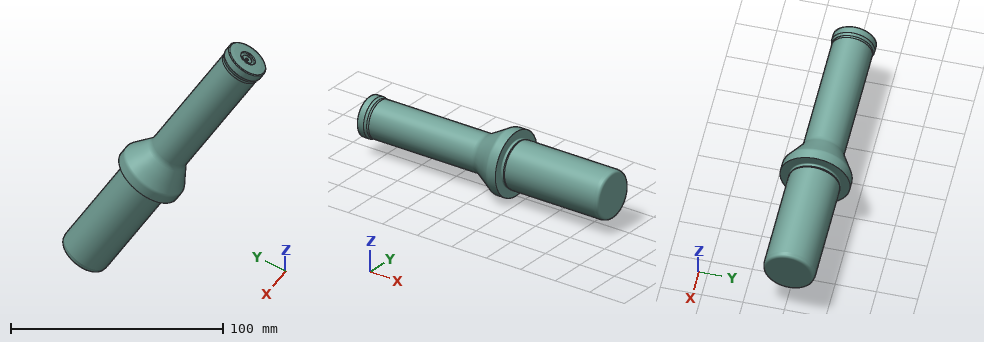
import cadquery as cq
import math

overall_length = 141.6

head_radius = 21.1 / 2
crown_radius = 7.6
crown_depth = 0.1
nose_radius = 8.8
nose_depth = 0.3
corner_start_radius = 10.0
corner_start_depth = 0.4
corner_depth = 0.8
head_land_end = 4.4
head_taper_end = 5.8
head_length = 7.0

recess_mouth_radius = 4.1
recess_floor_radius = 3.8
recess_depth = 0.5
middle_step_radius = 2.5
middle_step_depth = 0.8
centre_hole_radius = 0.7
centre_hole_depth = 1.4

neck_radius = 20.0 / 2
flange_radius = 34.0 / 2
shank_radius = 25.0 / 2
relief_radius = 24.5 / 2
cone_angle = math.radians(30)
neck_blend_start = 66.9
neck_blend_radius = 5.1
flange_blend_radius = 2.8
flange_back = 85.4
relief_fillet = 0.4
relief_end = 86.7
shank_start = 87.5
end_taper_start = 139.1
end_round_radius = 1.4


def make_head():
    """Short cutting head with a stepped recess in its front face."""
    return (
        cq.Workplane("XY")
        .moveTo(centre_hole_depth, 0)
        .lineTo(centre_hole_depth, centre_hole_radius)
        .lineTo(middle_step_depth, centre_hole_radius)
        .lineTo(middle_step_depth, middle_step_radius)
        .lineTo(recess_depth, middle_step_radius)
        .lineTo(recess_depth, recess_floor_radius)
        .lineTo(0, recess_mouth_radius)
        .lineTo(crown_depth, crown_radius)
        .lineTo(nose_depth, nose_radius)
        .lineTo(corner_start_depth, corner_start_radius)
        .lineTo(corner_depth, head_radius)
        .lineTo(head_land_end, head_radius)
        .lineTo(head_taper_end, neck_radius)
        .lineTo(head_length, neck_radius)
        .lineTo(head_length, 0)
        .close()
        .revolve(360, (0, 0, 0), (1, 0, 0))
    )


def make_holder():
    """Neck, conical flange, relief groove and cylindrical shank."""
    blend_rise = 1 - math.cos(cone_angle)
    cone_start_x = neck_blend_start + neck_blend_radius * math.sin(cone_angle)
    cone_start_radius = neck_radius + neck_blend_radius * blend_rise
    cone_end_radius = flange_radius - flange_blend_radius * blend_rise
    cone_end_x = cone_start_x + (cone_end_radius - cone_start_radius) / math.tan(cone_angle)
    rim_start = cone_end_x + flange_blend_radius * math.sin(cone_angle)
    end_round_start = overall_length - end_round_radius

    return (
        cq.Workplane("XY")
        .moveTo(head_length, 0)
        .lineTo(head_length, neck_radius)
        .lineTo(neck_blend_start, neck_radius)
        .radiusArc((cone_start_x, cone_start_radius), -neck_blend_radius)
        .lineTo(cone_end_x, cone_end_radius)
        .radiusArc((rim_start, flange_radius), flange_blend_radius)
        .lineTo(flange_back, flange_radius)
        .lineTo(flange_back, relief_radius + relief_fillet)
        .radiusArc((flange_back + relief_fillet, relief_radius), -relief_fillet)
        .lineTo(relief_end, relief_radius)
        .lineTo(shank_start, shank_radius)
        .lineTo(end_taper_start, shank_radius)
        .lineTo(end_round_start, relief_radius)
        .radiusArc((overall_length, relief_radius - end_round_radius), end_round_radius)
        .lineTo(overall_length, 0)
        .close()
        .revolve(360, (0, 0, 0), (1, 0, 0))
    )


head = make_head()
holder = make_holder()
result = cq.Compound.makeCompound([head.val(), holder.val()])